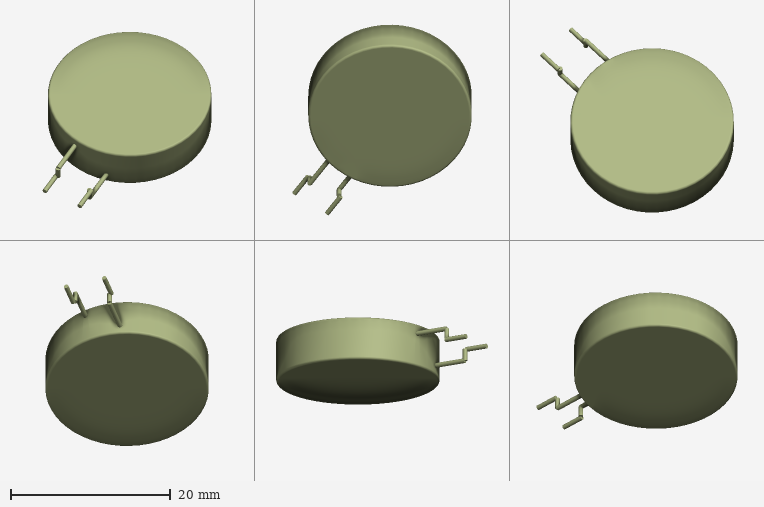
import cadquery as cq

body_diameter = 20.5
body_height = 5.5
edge_radius = 0.3

overall_length = 27.5
wire_diameter = 0.6
lead_spacing = 4.5
tip_spacing = 5.0
lead_offset_z = 1.5
tip_length = 3.0
root_depth = 1.38

body_radius = body_diameter / 2
tip_end_y = body_radius - overall_length
bend_y = tip_end_y + tip_length
root_y = -body_radius + root_depth


def wire(start, direction, length):
    """Straight round wire from a start point along a direction."""
    return cq.Workplane(cq.Solid.makeCylinder(
        wire_diameter / 2, length, cq.Vector(*start), cq.Vector(*direction)))


def lead(side, level):
    """Lead on one X side (-1 or 1), leaving the body above or below its middle plane (1 or -1)."""
    lead_x = side * lead_spacing / 2
    tip_x = side * tip_spacing / 2
    lead_z = level * lead_offset_z
    root = wire((lead_x, root_y, lead_z), (0, -1, 0), root_y - bend_y)
    riser = wire((lead_x, bend_y, lead_z), (0, 0, -level), lead_offset_z)
    tip = wire((tip_x, bend_y, 0), (0, -1, 0), tip_length)
    return root.union(riser).union(tip)


body = (
    cq.Workplane("XY")
    .cylinder(body_height, body_radius)
    .edges("%CIRCLE")
    .fillet(edge_radius)
)

upper_lead = lead(side=-1, level=1)
lower_lead = lead(side=1, level=-1)

result = body.union(upper_lead).union(lower_lead)